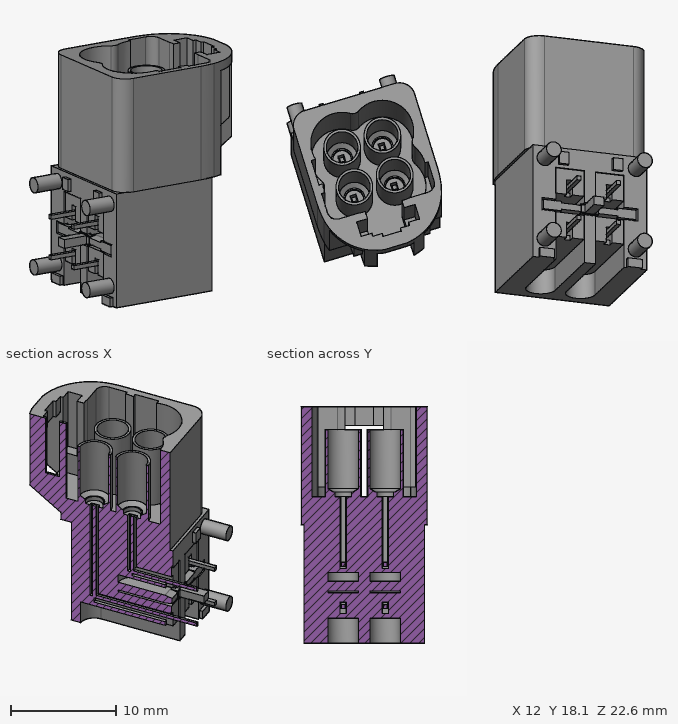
import cadquery as cq
import math


EPS = 0.23

total_height = 22.55
base_height = 11.3
contact_pitch = 4.01
contact_offset = contact_pitch / 2

shroud_half_width = 6.0
shroud_front = -6.07
shroud_back = 9.05
shroud_corner_radius = 1.49
arch_flat_half_width = 1.13
arch_mid = (4.26, 7.53)
arch_shoulder = (5.85, 4.65)
arch_side_mid = (5.95, 3.83)
arch_start = 3.02
flange_thickness = 0.92
shroud_body_back = 5.57

latch_half_width = 2.95
latch_bottom = 12.1
latch_wing_half_width = 3.79
latch_wing_bottom = 14.88
latch_wing_back = 7.7
latch_slope = 0.66

cavity_floor = 13.98
lobe_radius = 2.98
waist_radius = 0.75
recess_floor = 14.88
recess_half_width = 5.3
recess_top = 4.94
recess_bottom = 2.12
recess_corner_radius = 0.9
key_half_length = 1.25
latch_slot_half_width = 1.83
latch_slot_back = 7.49
latch_notch_half_width = 0.9
latch_notch_back = 7.78
window_front = 7.6
window_top = 20.75
pocket_half_width = 2.9
pocket_front = 5.7
pocket_back = 7.17
pocket_floor = 16.24

tower_top = 20.36
tower_diameter = 3.5
tower_bore = 3.0
tower_seat_diameter = 2.0
tower_well_diameter = 1.75
tower_well_depth = 0.45
tower_cone_top = 14.77
tower_seat = 14.43
contact_hole_width = 0.59
contact_hole_length = 0.88

base_half_width = 5.75
base_front = -6.35
base_back = 4.46

insert_width = 2.89
insert_recess = 0.15
insert_slot_top = 9.3
lower_insert_bottom = 2.4
upper_insert_bottom = 6.75
upper_channel_bottom = 4.85

leg_size = 0.4
leg_end = -8.88
lower_leg_height = 3.52
upper_leg_height = 7.53
lower_notch_top = 3.92
upper_notch_top = 8.2
notch_height = 1.05
notch_entry_depth = 0.68

plate_slot_half_width = 4.83
plate_slot_bottom = 4.85
plate_slot_height = 1.22
plate_slot_depth = 0.45
plate_back = 0.88
plate_gap = 0.14
plate_recess = 0.07
plate_bevel_height = 0.15
plate_bevel_depth = 0.77
plate_bevel_end = 2.85
tab_half_width = 0.88
tab_gap = 0.23
shield_leg_width = 1.0
shield_leg_height = 0.85

peg_diameter = 1.49
peg_end = -9.07
peg_x = 4.6
peg_heights = (1.92, 10.05)
pad_height = 0.34
foot_pad = (3.7, 5.16, 0.0, 0.88)
upper_pad = (2.23, 3.2, 9.63, 10.82)


def block(x0, x1, y0, y1, z0, z1):
    """Box between two opposite corners."""
    return cq.Workplane("XY").box(x1 - x0, y1 - y0, z1 - z0, centered=False).translate((x0, y0, z0))


def cylinder(diameter, x, y, z0, z1):
    """Upright cylinder."""
    return cq.Workplane("XY", origin=(x, y, z0)).circle(diameter / 2).extrude(z1 - z0)


def mirrored(point):
    """Point on the other side of the middle plane."""
    return (-point[0], point[1])


def outline(z0, z1):
    """Shroud outline: flat front with round corners, arched back."""
    w = shroud_half_width
    body = (
        cq.Workplane("XY", origin=(0, 0, z0))
        .moveTo(-w, shroud_front)
        .lineTo(w, shroud_front)
        .lineTo(w, arch_start)
        .threePointArc(arch_side_mid, arch_shoulder)
        .threePointArc(arch_mid, (arch_flat_half_width, shroud_back))
        .lineTo(-arch_flat_half_width, shroud_back)
        .threePointArc(mirrored(arch_mid), mirrored(arch_shoulder))
        .threePointArc(mirrored(arch_side_mid), (-w, arch_start))
        .close()
        .extrude(z1 - z0)
    )
    return body.edges("|Z and <Y").fillet(shroud_corner_radius)


def latch_prism(half_width, bottom, back):
    """Latch housing with a bottom that slopes up towards the back."""
    depth = back - shroud_body_back
    return (
        cq.Workplane("YZ", origin=(-half_width, 0, 0))
        .moveTo(shroud_body_back, bottom)
        .lineTo(back, bottom + latch_slope * depth)
        .lineTo(back, total_height)
        .lineTo(shroud_body_back, total_height)
        .close()
        .extrude(2 * half_width)
    )


def shroud():
    """Full outline at the top flange, stepped in below it around the latch housing."""
    w = shroud_half_width
    keep = block(-w, w, shroud_front, shroud_body_back, base_height, total_height)
    keep = keep.union(block(-w, w, shroud_front, shroud_back, total_height - flange_thickness, total_height))
    keep = keep.union(latch_prism(latch_half_width, latch_bottom, shroud_back))
    keep = keep.union(latch_prism(latch_wing_half_width, latch_wing_bottom, latch_wing_back))
    return outline(base_height, total_height).intersect(keep)


def lobes():
    """Four overlapping round lobes with rounded waists between neighbours."""
    top = total_height + EPS
    c = contact_offset
    waist_centre = c + math.sqrt((lobe_radius + waist_radius) ** 2 - c**2)
    touch = lobe_radius / (lobe_radius + waist_radius)
    touch_across = c * (1 - touch)
    touch_out = c + (waist_centre - c) * touch
    core = block(-c, c, -c, c, cavity_floor, top)
    for sx in (-1, 1):
        for sy in (-1, 1):
            core = core.union(cylinder(2 * lobe_radius, sx * c, sy * c, cavity_floor, top))
    height = top - cavity_floor
    for turn in (90, 180, 270):
        web = (
            cq.Workplane("XY", origin=(0, 0, cavity_floor))
            .moveTo(-c, c)
            .lineTo(c, c)
            .lineTo(touch_across, touch_out)
            .threePointArc((0, waist_centre - waist_radius), (-touch_across, touch_out))
            .close()
            .extrude(height)
        )
        core = core.union(web.rotate((0, 0, 0), (0, 0, 1), turn))
    return core


def cavity():
    """Space inside the shroud: lobes, side recesses, key, latch slot, pockets and back window."""
    top = total_height + EPS
    slot = latch_slot_half_width
    notch = latch_notch_half_width
    recess = block(-recess_half_width, recess_half_width, recess_bottom, recess_top, recess_floor, top)
    recess = recess.edges("|Z and >Y").fillet(recess_corner_radius)
    space = lobes().union(recess)
    space = space.union(block(0, recess_half_width, -key_half_length, key_half_length, recess_floor, top))
    space = space.union(block(-slot, slot, 0, latch_slot_back, cavity_floor, top))
    space = space.union(block(-slot, slot, 0, window_front, cavity_floor, window_top))
    space = space.union(block(-notch, notch, 0, latch_notch_back, cavity_floor, top))
    space = space.union(
        block(-pocket_half_width, pocket_half_width, pocket_front, pocket_back, pocket_floor, top)
    )
    window = block(-slot, slot, window_front, shroud_back + EPS, base_height, window_top)
    return space.union(window)


def tower(x, y):
    """Solid round tower around one contact."""
    return cylinder(tower_diameter, x, y, cavity_floor - EPS, tower_top)


def tower_bore_tool(x, y, leg_height):
    """Socket bore with a conical seat, a well and a narrow passage down to the contact leg."""
    profile = (
        cq.Workplane("XZ")
        .moveTo(0, tower_seat)
        .lineTo(tower_seat_diameter / 2, tower_seat)
        .lineTo(tower_bore / 2, tower_cone_top)
        .lineTo(tower_bore / 2, tower_top + EPS)
        .lineTo(0, tower_top + EPS)
        .close()
        .revolve(360, (0, 0, 0), (0, 1, 0))
        .translate((x, y, 0))
    )
    well_floor = tower_seat - tower_well_depth
    well = cylinder(tower_well_diameter, x, y, well_floor, tower_seat + EPS)
    half_w = contact_hole_width / 2
    half_l = contact_hole_length / 2
    passage = block(x - half_w, x + half_w, y - half_l, y + half_l, leg_height, tower_seat)
    return profile.union(well).union(passage)


def insert_channel(x, y_end, z0, z1):
    """Channel open to the board side, ending in a half-round wall around the contact."""
    half = insert_width / 2
    channel = block(x - half, x + half, base_front - EPS, y_end, z0, z1)
    return channel.union(cylinder(insert_width, x, y_end, z0, z1))


def base():
    """Rectangular base with the contact inserts and their channels and notches."""
    body = block(-base_half_width, base_half_width, base_front, base_back, 0, base_height)
    half = insert_width / 2
    notch = contact_hole_width / 2
    face = base_front + insert_recess
    for x in (-contact_offset, contact_offset):
        body = body.cut(block(x - half, x + half, base_front - EPS, face, -EPS, insert_slot_top))
        body = body.cut(insert_channel(x, contact_offset, -EPS, lower_insert_bottom))
        body = body.cut(insert_channel(x, -contact_offset, upper_channel_bottom, upper_insert_bottom))
        for bottom, top, y in (
            (lower_insert_bottom, lower_notch_top, contact_offset),
            (upper_insert_bottom, upper_notch_top, -contact_offset),
        ):
            entry_end = face + notch_entry_depth
            body = body.cut(block(x - notch, x + notch, base_front - EPS, entry_end, bottom - EPS, top))
            body = body.cut(block(x - notch, x + notch, base_front - EPS, y, top - notch_height, top))
    return body


def contact(x, y, leg_height):
    """Bent contact: leg towards the board, post up to the floor of the tower well."""
    half = leg_size / 2
    leg = block(x - half, x + half, leg_end, y + half, leg_height - half, leg_height + half)
    return leg.union(block(x - half, x + half, y - half, y + half, leg_height, tower_seat - tower_well_depth))


def shield(body):
    """Shield plate lying in a cross slot, with a raised tab and a board leg in the middle."""
    w = plate_slot_half_width
    z0 = plate_slot_bottom
    z1 = z0 + plate_slot_height
    slot_floor = base_front + plate_slot_depth
    face = base_front + plate_recess
    gap = plate_gap
    body = body.cut(block(-w, w, base_front - EPS, slot_floor, z0, z1))
    plate = block(gap - w, w - gap, face, plate_back, z0 + gap, z1 - gap)
    bevel_length = plate_bevel_end - tab_half_width
    for x in (-plate_bevel_end, tab_half_width):
        for z, inward in ((z0 + gap, 1), (z1 - gap, -1)):
            bevel = (
                cq.Workplane("YZ", origin=(x, 0, 0))
                .moveTo(face, z)
                .lineTo(face + plate_bevel_depth, z)
                .lineTo(face, z + inward * plate_bevel_height)
                .close()
                .extrude(bevel_length)
            )
            plate = plate.cut(bevel)
    body = body.union(plate)
    tab = block(-tab_half_width, tab_half_width, base_front, slot_floor, z0 + tab_gap, z1 - tab_gap)
    body = body.union(tab)
    half = shield_leg_width / 2
    mid = z0 + plate_slot_height / 2
    half_h = shield_leg_height / 2
    return body.union(block(-half, half, leg_end, slot_floor, mid - half_h, mid + half_h))


def peg(x, z):
    """Round peg standing out of the board side."""
    start = base_front + EPS
    return cq.Workplane("XZ", origin=(x, start, z)).circle(peg_diameter / 2).extrude(start - peg_end)


result = shroud().cut(cavity())
contacts = []
for cx in (-contact_offset, contact_offset):
    contacts.append((cx, contact_offset, lower_leg_height))
    contacts.append((cx, -contact_offset, upper_leg_height))

for cx, cy, height in contacts:
    result = result.union(tower(cx, cy))
result = result.union(base())
for cx, cy, height in contacts:
    result = result.cut(tower_bore_tool(cx, cy, height))
result = shield(result)
for cx, cy, height in contacts:
    result = result.union(contact(cx, cy, height))
for side in (-1, 1):
    for z in peg_heights:
        result = result.union(peg(side * peg_x, z))
    for inner, outer, z0, z1 in (foot_pad, upper_pad):
        x0, x1 = sorted((side * inner, side * outer))
        result = result.union(block(x0, x1, base_front - pad_height, base_front, z0, z1))